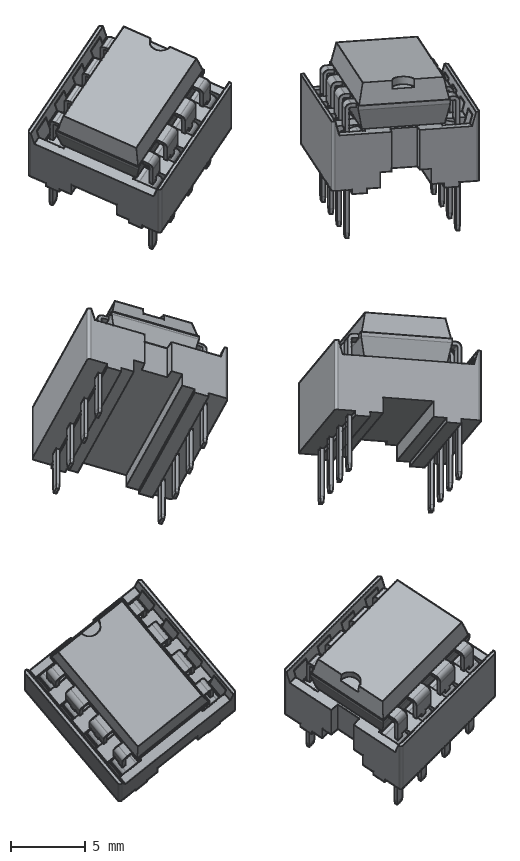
import cadquery as cq
import math


PITCH = 2.54
PINS_PER_ROW = 4
ROW_X = 3.81
STRIP = 0.28
PIN_OUT = ROW_X + STRIP / 2
PIN_IN = ROW_X - STRIP / 2
PIN_YS = [(i - (PINS_PER_ROW - 1) / 2) * PITCH for i in range(PINS_PER_ROW)]
SIDES = (-1, 1)

HOUSING_SIZE = 10.16
HOUSING_HALF = HOUSING_SIZE / 2
CORNER_R = 0.19
BASE_Z = 3.8
DECK_Z = 7.72
WALL_TOP_Z = 8.72
WALL_TOP_X = 4.83
WALL_SLOPE = 0.27
FOOT_Z = 3.48
FOOT_IN = 2.66
ARCH_HALF = 1.75
ARCH_TOP_Z = 4.9
KEY_RIM_HALF = 0.98
KEY_END_HALF = 0.92
KEY_DEPTH = 0.64

CONTACT_WIDTH = 1.3
CONTACT_FLOOR_Z = 6.65
LEAF_TOP_Z = 8.33
LEAF_THICKNESS = 0.03
CHANNEL_Z = 7.0
HUMP_OUT = 4.22
HUMP_IN = 2.65
HUMP_OUT_R = 0.39
HUMP_IN_R = 0.34
HUMP_TOP_Z = 7.62
ROOF_ANGLE = 15.0
PIN_WIDTH = 0.58
TIP_LENGTH = 0.42
TIP_INSET = 0.039

CHIP_TOP_Z = 11.08
CHIP_BOTTOM_Z = 7.8
FRAME_BOTTOM_Z = 9.3
FRAME_TOP_Z = FRAME_BOTTOM_Z + STRIP
FRAME_HALF_X = 3.17
FRAME_HALF_Y = 4.62
LEDGE = 0.07
DRAFT = 0.21
MARK_R = 0.75
MARK_Y = 4.32
MARK_DEPTH = 0.55
LEAD_BEND_R = 0.41
LEAD_HALF_WIDTH = 0.75
TONGUE_HALF_WIDTH = 0.22


def wall_x(z):
    """Distance from the middle to the inner face of the side wall at height z."""
    return WALL_TOP_X - WALL_SLOPE * (WALL_TOP_Z - z)


ROOF_SIN = math.sin(math.radians(ROOF_ANGLE))
ROOF_COS = math.cos(math.radians(ROOF_ANGLE))
ROOF_HIGH_X = HUMP_IN + HUMP_IN_R * (1 + ROOF_SIN)
ROOF_LOW_X = HUMP_OUT - HUMP_OUT_R * (1 - ROOF_SIN)
ROOF_HIGH_Z = HUMP_TOP_Z - HUMP_IN_R * (1 - ROOF_COS)


def roof_z(x):
    """Height of the sloping roof of a contact at distance x from the middle."""
    return ROOF_HIGH_Z - (x - ROOF_HIGH_X) * ROOF_SIN / ROOF_COS


def profile(side, points):
    """Start an XZ outline from (distance, height) points on the given side."""
    return cq.Workplane("XZ").polyline([(side * x, z) for x, z in points])


def box(x0, x1, y0, y1, z0, z1):
    """Block between two opposite corners."""
    return (
        cq.Workplane("XY")
        .box(abs(x1 - x0), y1 - y0, z1 - z0)
        .translate(((x0 + x1) / 2, (y0 + y1) / 2, (z0 + z1) / 2))
    )


def frustum(half_x, half_y, z_start, z_end):
    """Moulded half of the chip, narrowing from z_start to z_end."""
    inset = DRAFT * abs(z_end - z_start)
    return (
        cq.Workplane("XY").workplane(offset=z_start)
        .rect(2 * half_x, 2 * half_y)
        .workplane(offset=z_end - z_start)
        .rect(2 * (half_x - inset), 2 * (half_y - inset))
        .loft(ruled=True)
    )


def contact_pin(side, y):
    """Straight pin below the contact head, tapered at its tip."""
    shank = box(
        side * PIN_IN, side * PIN_OUT, y - PIN_WIDTH / 2, y + PIN_WIDTH / 2, TIP_LENGTH, CONTACT_FLOOR_Z
    )
    tip = (
        cq.Workplane("XY").workplane(offset=TIP_LENGTH).center(side * ROW_X, y)
        .rect(STRIP, PIN_WIDTH)
        .workplane(offset=-TIP_LENGTH)
        .rect(STRIP - 2 * TIP_INSET, PIN_WIDTH - 2 * TIP_INSET)
        .loft(ruled=True)
    )
    return shank.union(tip)


def contact_head(side, y):
    """Leaf on the side wall, channel floor and round-shouldered hump, as one outline."""
    outer_bend = math.radians((90 - ROOF_ANGLE) / 2)
    inner_bend = math.radians((90 + ROOF_ANGLE) / 2)
    roof_low_z = roof_z(ROOF_LOW_X)
    outer_spring_z = roof_low_z - HUMP_OUT_R * ROOF_COS
    inner_spring_z = HUMP_TOP_Z - HUMP_IN_R
    outer_mid = (
        HUMP_OUT - HUMP_OUT_R * (1 - math.cos(outer_bend)),
        outer_spring_z + HUMP_OUT_R * math.sin(outer_bend),
    )
    inner_mid = (
        HUMP_IN + HUMP_IN_R * (1 - math.cos(inner_bend)),
        inner_spring_z + HUMP_IN_R * math.sin(inner_bend),
    )
    leaf_and_channel = [
        (wall_x(CONTACT_FLOOR_Z), CONTACT_FLOOR_Z),
        (wall_x(LEAF_TOP_Z), LEAF_TOP_Z),
        (wall_x(LEAF_TOP_Z) - LEAF_THICKNESS, LEAF_TOP_Z),
        (wall_x(CHANNEL_Z) - LEAF_THICKNESS, CHANNEL_Z),
        (HUMP_OUT, CHANNEL_Z),
        (HUMP_OUT, outer_spring_z),
    ]

    def at(point):
        """Place a (distance, height) point on this side."""
        return (side * point[0], point[1])

    return (
        profile(side, leaf_and_channel)
        .threePointArc(at(outer_mid), at((ROOF_LOW_X, roof_low_z)))
        .lineTo(*at((ROOF_HIGH_X, ROOF_HIGH_Z)))
        .threePointArc(at(inner_mid), at((HUMP_IN, inner_spring_z)))
        .lineTo(*at((HUMP_IN, CONTACT_FLOOR_Z)))
        .close()
        .extrude(CONTACT_WIDTH / 2, both=True)
        .translate((0, y, 0))
    )


def make_contact(side, y):
    return contact_head(side, y).union(contact_pin(side, y))


def housing_block():
    block = (
        cq.Workplane("XY").workplane(offset=BASE_Z)
        .rect(HOUSING_SIZE, HOUSING_SIZE)
        .extrude(WALL_TOP_Z - BASE_Z)
        .edges("|Z").fillet(CORNER_R)
    )
    trough = (
        cq.Workplane("XZ")
        .polyline([
            (-wall_x(DECK_Z), DECK_Z),
            (wall_x(DECK_Z), DECK_Z),
            (WALL_TOP_X, WALL_TOP_Z),
            (-WALL_TOP_X, WALL_TOP_Z),
        ])
        .close()
        .extrude(HOUSING_SIZE, both=True)
    )
    return block.cut(trough)


def contact_pocket(side, y):
    """Slot in the deck for a contact head, with the hole for its pin."""
    slot = (
        profile(side, [
            (HUMP_IN, CONTACT_FLOOR_Z),
            (wall_x(CONTACT_FLOOR_Z), CONTACT_FLOOR_Z),
            (wall_x(DECK_Z), DECK_Z),
            (HUMP_IN, DECK_Z),
        ])
        .close()
        .extrude(CONTACT_WIDTH / 2, both=True)
        .translate((0, y, 0))
    )
    return slot.union(contact_pin(side, y))


def key_notch():
    return (
        cq.Workplane("XY").workplane(offset=BASE_Z)
        .polyline([
            (-KEY_RIM_HALF, HOUSING_HALF),
            (KEY_RIM_HALF, HOUSING_HALF),
            (KEY_END_HALF, HOUSING_HALF - KEY_DEPTH),
            (-KEY_END_HALF, HOUSING_HALF - KEY_DEPTH),
        ])
        .close()
        .extrude(DECK_Z - BASE_Z)
    )


def make_housing():
    housing = housing_block()
    for side in SIDES:
        housing = housing.union(
            box(side * FOOT_IN, side * PIN_IN, -HOUSING_HALF, HOUSING_HALF, FOOT_Z, BASE_Z)
        )
    housing = housing.cut(
        box(-ARCH_HALF, ARCH_HALF, -HOUSING_HALF, HOUSING_HALF, BASE_Z, ARCH_TOP_Z)
    )
    housing = housing.cut(key_notch())
    for side in SIDES:
        for y in PIN_YS:
            housing = housing.cut(contact_pocket(side, y))
    return housing


def lead_strip(side, y0, y1):
    """Bent shoulder of a lead, standing on the deck."""
    inner_r = LEAD_BEND_R - STRIP
    middle = math.sqrt(0.5)
    bend_x = PIN_OUT - LEAD_BEND_R
    bend_z = FRAME_TOP_Z - LEAD_BEND_R
    return (
        cq.Workplane("XZ")
        .moveTo(0, FRAME_BOTTOM_Z)
        .lineTo(0, FRAME_TOP_Z)
        .lineTo(side * bend_x, FRAME_TOP_Z)
        .threePointArc(
            (side * (bend_x + LEAD_BEND_R * middle), bend_z + LEAD_BEND_R * middle),
            (side * PIN_OUT, bend_z),
        )
        .lineTo(side * PIN_OUT, DECK_Z)
        .lineTo(side * PIN_IN, DECK_Z)
        .lineTo(side * PIN_IN, bend_z)
        .threePointArc(
            (side * (bend_x + inner_r * middle), bend_z + inner_r * middle),
            (side * bend_x, FRAME_BOTTOM_Z),
        )
        .close()
        .extrude(y0 - y1)
        .translate((0, y0, 0))
    )


def lead_tongue(side, y):
    """Narrow end of a lead that drops into the slot and rests on the contact's roof."""
    return (
        profile(side, [
            (PIN_OUT, DECK_Z),
            (PIN_OUT, roof_z(PIN_OUT)),
            (PIN_IN, roof_z(PIN_IN)),
            (PIN_IN, DECK_Z),
        ])
        .close()
        .extrude(TONGUE_HALF_WIDTH, both=True)
        .translate((0, y, 0))
    )


def make_chip():
    chip = box(
        -FRAME_HALF_X, FRAME_HALF_X, -FRAME_HALF_Y, FRAME_HALF_Y, FRAME_BOTTOM_Z, FRAME_TOP_Z
    )
    chip = chip.union(frustum(FRAME_HALF_X - LEDGE, FRAME_HALF_Y - LEDGE, FRAME_TOP_Z, CHIP_TOP_Z))
    chip = chip.union(frustum(FRAME_HALF_X, FRAME_HALF_Y, FRAME_BOTTOM_Z, CHIP_BOTTOM_Z))
    for side in SIDES:
        for y in PIN_YS:
            low = TONGUE_HALF_WIDTH if y == PIN_YS[0] else LEAD_HALF_WIDTH
            high = TONGUE_HALF_WIDTH if y == PIN_YS[-1] else LEAD_HALF_WIDTH
            chip = chip.union(lead_strip(side, y - low, y + high))
            chip = chip.union(lead_tongue(side, y))
    chip = chip.clean()
    mark = (
        cq.Workplane("XY").workplane(offset=CHIP_TOP_Z - MARK_DEPTH)
        .center(0, MARK_Y)
        .circle(MARK_R)
        .extrude(MARK_DEPTH)
    )
    return chip.cut(mark)


housing = make_housing()
contacts = [make_contact(side, y) for side in SIDES for y in PIN_YS]
chip = make_chip()

result = cq.Compound.makeCompound(
    [housing.val(), chip.val(), *[contact.val() for contact in contacts]]
)